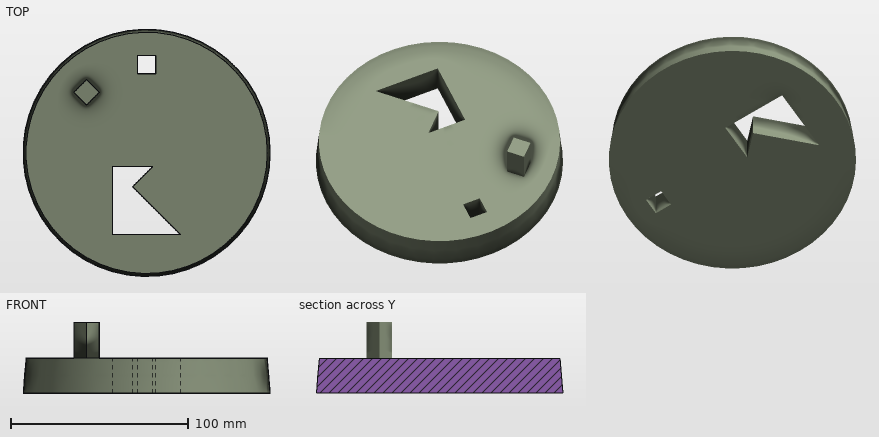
import cadquery as cq

base_radius = 69.8
top_radius = 68.1
base_height = 20.0

total_height = 40.0
peg_side = 10.2
peg_x = -33.9
peg_y = 34.2
peg_angle = 45.0

hole_side = 10.2
hole_y = 49.8

window_left = -19.3
window_bottom = -46.0
window_size = 38.2
notch_depth = 11.3


def make_base():
    """Round disc that narrows evenly towards its top face."""
    return (
        cq.Workplane("XY")
        .circle(base_radius)
        .workplane(offset=base_height)
        .circle(top_radius)
        .loft(ruled=True)
    )


def make_peg():
    """Upright square peg reaching through the base to the full height."""
    peg = cq.Workplane("XY").rect(peg_side, peg_side).extrude(total_height)
    return peg.rotate((0, 0, 0), (0, 0, 1), peg_angle).translate((peg_x, peg_y, 0))


def make_hole():
    return cq.Workplane("XY").center(0, hole_y).rect(hole_side, hole_side).extrude(base_height)


def make_window():
    """Cutter whose slanted edges both run at 45 degrees through the notch tip."""
    window_top = window_bottom + window_size
    notch_x = window_left + notch_depth
    outline = [
        (window_left, window_bottom),
        (window_left + window_size, window_bottom),
        (notch_x, window_top - notch_depth),
        (notch_x + notch_depth, window_top),
        (window_left, window_top),
    ]
    return cq.Workplane("XY").polyline(outline).close().extrude(base_height)


result = make_base().union(make_peg()).cut(make_hole()).cut(make_window())